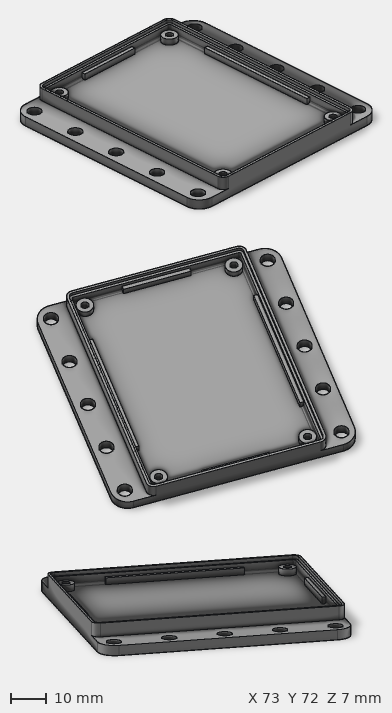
import cadquery as cq

plate_length = 73
plate_width = 72.0
plate_thickness = 3.0
plate_corner_radius = 5.0

wall_width = 53.0
wall_top = 7.0
wall_corner_radius = 2.1
wall_thickness = 1.5

rim_thickness = wall_thickness / 2
step_depth = 1.0
step_z = wall_top - step_depth

floor_z = plate_thickness
floor_fillet = 0.8

ledge_depth = 1.2
ledge_top = 5.0
ledge_length_x = 40.0
ledge_length_y = 20.0

boss_diameter = 5.0
boss_hole_diameter = 2.25
boss_top = ledge_top
boss_spacing_x = 64.0
boss_spacing_y = 44.0

mount_hole_diameter = 4.2
mount_holes_per_row = 5
mount_hole_pitch = boss_spacing_x / (mount_holes_per_row - 1)
mount_row_spacing = boss_spacing_x


def rounded_block(length, width, corner_radius, bottom_z, top_z):
    """Block centred on the Z axis with rounded vertical edges."""
    return (
        cq.Workplane("XY", origin=(0, 0, bottom_z))
        .rect(length, width)
        .extrude(top_z - bottom_z)
        .edges("|Z")
        .fillet(corner_radius)
    )


def wall_offset_block(inset, bottom_z, top_z):
    """Block whose outline is the outer wall outline moved inward by inset."""
    return rounded_block(
        plate_length - 2 * inset,
        wall_width - 2 * inset,
        wall_corner_radius - inset,
        bottom_z,
        top_z,
    )


def make_shell():
    """Plate and wall, hollowed by the stepped cavity with a filleted floor."""
    plate = rounded_block(plate_length, plate_width, plate_corner_radius, 0, plate_thickness)
    wall = wall_offset_block(0, plate_thickness, wall_top)
    step_pocket = wall_offset_block(rim_thickness, step_z, wall_top)
    cavity = wall_offset_block(wall_thickness, floor_z, wall_top)
    cavity = cavity.faces("<Z").edges().fillet(floor_fillet)
    return plate.union(wall).cut(step_pocket).cut(cavity)


def make_ledges():
    """Four straight ledges, each reaching from inside the wall into the cavity."""
    height = ledge_top - floor_z
    depth = ledge_depth + rim_thickness
    inset = rim_thickness + depth / 2
    centre_x = plate_length / 2 - inset
    centre_y = wall_width / 2 - inset
    floor = cq.Workplane("XY", origin=(0, 0, floor_z))
    long_ledges = floor.pushPoints([(0, -centre_y), (0, centre_y)]).rect(ledge_length_x, depth).extrude(height)
    short_ledges = floor.pushPoints([(-centre_x, 0), (centre_x, 0)]).rect(depth, ledge_length_y).extrude(height)
    return long_ledges.union(short_ledges)


def corner_cylinders(diameter, bottom_z, top_z):
    """Cylinders at the four boss positions."""
    return (
        cq.Workplane("XY", origin=(0, 0, bottom_z))
        .rect(boss_spacing_x, boss_spacing_y, forConstruction=True)
        .vertices()
        .circle(diameter / 2)
        .extrude(top_z - bottom_z)
    )


def make_mount_holes():
    """Cutters for both rows of mounting holes."""
    return (
        cq.Workplane("XY")
        .rarray(mount_hole_pitch, mount_row_spacing, mount_holes_per_row, 2)
        .circle(mount_hole_diameter / 2)
        .extrude(plate_thickness)
    )


result = (
    make_shell()
    .union(make_ledges())
    .union(corner_cylinders(boss_diameter, floor_z, boss_top))
    .cut(corner_cylinders(boss_hole_diameter, 0, boss_top))
    .cut(make_mount_holes())
)